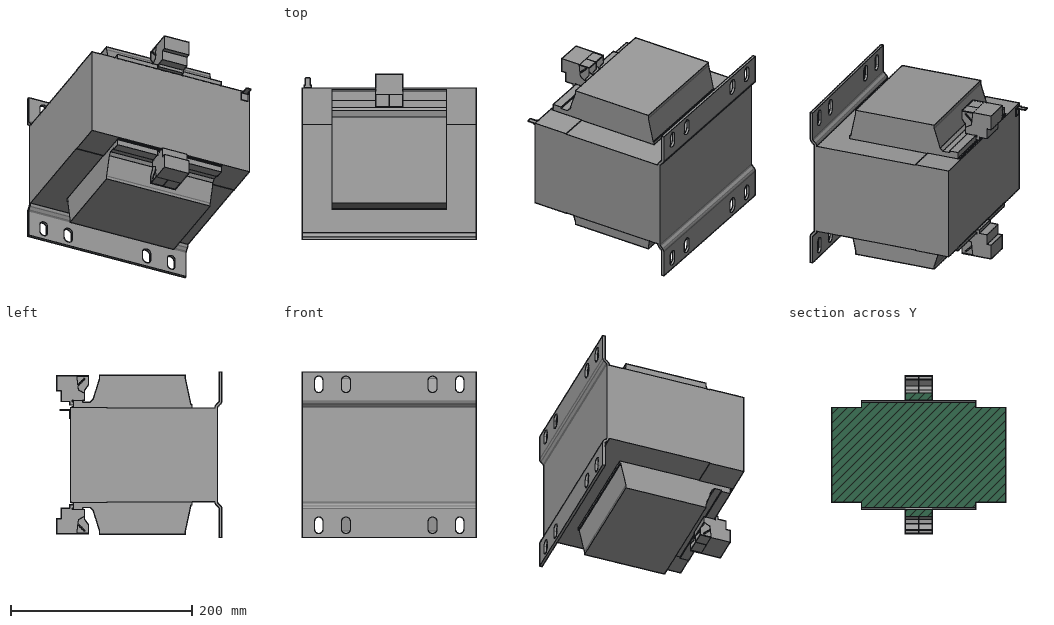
import cadquery as cq
import math


width = 192.0
height = 183.0

sheet = 3.0
web_front = 4.8
flange_bend_z = 57.6
inner_bend = 1.5
outer_bend = inner_bend + sheet
bend_angle = 45.0
position_tolerance = 0.02
slot_length = 18.0
slot_z = 77.8
slots = ((77.8, 9.0), (47.8, 10.0))

core_front = web_front + sheet
core_back = 167.2
core_half_height = 51.8
band_thickness = 0.5
band_depth = 40.3
band_top = core_half_height + band_thickness

bobbin_width = 126.3
winding_front = 40.3
winding_back = 135.2
winding_shoulder = 84.0
winding_top = 88.0
lip_front = 33.0
lip_step = 1.2
lip_top = 55.5
groove_floor = 58.2
groove_front = 145.5
groove_chamfer = 3.3
rail_front = 153.6
rail_back = 164.0
rail_top = 60.0
foot_back = 165.7
foot_top = 53.4

terminal_count = 2
terminal_width = 15.0
terminal_back = 182.5
terminal_front = 147.0
terminal_top = 87.4
terminal_bottom = 58.8
head_bottom = 70.5
stem_back = 177.6
rail_seat_back = 165.1
stem_front = 151.5
brow_bottom = 71.2
brow_top = 77.4
clip_front = 164.0
clip_back = 168.2
clip_bottom = 55.0

wall = 0.2
roof = 1.0
entry_back = 160.1
entry_knee = (159.2, 76.8)
entry_floor_back = (158.4, 71.6)
entry_floor_front = 67.8
entry_overcut = 2.0
leaf_root = (159.7, 76.8)
leaf_run = 7.7
leaf_drop = 1.0

tab_x = -89.9
tab_sheet = 0.8
tab_top = 50.0
tab_plate_width = 8.0
tab_plate_height = 9.6
tab_plate_reach = 3.3
tab_blade_width = 5.8
tab_end = 178.5
tab_tip_chamfer = 0.8


def extrude_along_x(points, x_start, x_end):
    """Extrude a closed (Y, Z) outline between two X positions."""
    return cq.Workplane("YZ", origin=(x_start, 0, 0)).polyline(points).close().extrude(x_end - x_start)


def box_between(x_range, y_range, z_range):
    """Box given by its limits along each axis."""
    corner = (x_range[0], y_range[0], z_range[0])
    sizes = [high - low for low, high in (x_range, y_range, z_range)]
    return cq.Workplane("XY").box(*sizes, centered=False).translate(corner)


def make_bracket():
    """Sheet with a middle web and two flanges set forward by paired bends."""
    web_back = web_front + sheet
    web_bend_z = flange_bend_z - web_front / math.tan(math.radians(bend_angle))
    bend_shift = sheet * math.tan(math.radians(bend_angle / 2))
    top = height / 2
    upper_front = [(web_front, web_bend_z), (0, flange_bend_z), (0, top)]
    upper_back = [
        (sheet, top),
        (sheet, flange_bend_z + bend_shift),
        (web_back, web_bend_z + bend_shift),
    ]
    upper = upper_front + upper_back
    lower = [(y, -z) for y, z in reversed(upper)]
    bracket = extrude_along_x(upper + lower, -width / 2, width / 2)

    def bend_edges(surfaces):
        """Select the bend edges lying on the sheet surfaces at the given Y positions."""
        def on_bend(edge):
            center = edge.Center()
            on_surface = any(abs(center.y - y) < position_tolerance for y in surfaces)
            return on_surface and abs(center.z) < top - sheet
        return on_bend

    for surfaces, radius in (((0, web_back), outer_bend), ((sheet, web_front), inner_bend)):
        bracket = bracket.edges("|X").filter(bend_edges(surfaces)).fillet(radius)

    for distance, slot_width in slots:
        slot_centers = [(x, z) for x in (-distance, distance) for z in (-slot_z, slot_z)]
        cutter = (
            cq.Workplane("XZ")
            .pushPoints(slot_centers)
            .slot2D(slot_length, slot_width, 90)
            .extrude(-sheet)
        )
        bracket = bracket.cut(cutter)
    return bracket


def make_core():
    """Laminated block with a slightly raised band along its back."""
    half_width = width / 2
    x_range = (-half_width, half_width)
    core = box_between(x_range, (core_front, core_back), (-core_half_height, core_half_height))
    band = box_between(x_range, (core_back - band_depth, core_back), (-band_top, band_top))
    return core.union(band)


def make_bobbin():
    """Upper bobbin: tapered winding with a square-edged top, a groove and a terminal rail."""
    profile = [
        (lip_front, 0),
        (lip_front, lip_top),
        (lip_front + lip_step, lip_top),
        (winding_front, winding_shoulder),
        (winding_front, winding_top),
        (winding_back, winding_top),
        (winding_back, winding_shoulder),
        (groove_front - groove_chamfer, groove_floor + groove_chamfer),
        (groove_front, groove_floor),
        (rail_front, groove_floor),
        (rail_front, rail_top),
        (rail_back, rail_top),
        (rail_back, foot_top),
        (foot_back, foot_top),
        (foot_back, 0),
    ]
    return extrude_along_x(profile, -bobbin_width / 2, bobbin_width / 2)


def make_terminal(x_start):
    """One terminal: stepped housing, open-fronted wire entry and a slanted leaf in it."""
    x_end = x_start + terminal_width
    housing_profile = [
        (terminal_front, terminal_top),
        (terminal_back, terminal_top),
        (terminal_back, head_bottom),
        (stem_back, head_bottom),
        (stem_back, terminal_bottom),
        (rail_seat_back, terminal_bottom),
        (rail_seat_back, rail_top),
        (stem_front, rail_top),
        (stem_front, brow_bottom),
        (terminal_front, brow_top),
    ]
    entry_top = terminal_top - roof
    entry_mouth = terminal_front - entry_overcut
    entry_profile = [
        (entry_back, entry_top),
        entry_knee,
        entry_floor_back,
        (stem_front, entry_floor_front),
        (entry_mouth, entry_floor_front),
        (entry_mouth, entry_top),
    ]
    root_y, root_z = leaf_root
    tip_y = root_y - leaf_run
    tip_z = root_z + leaf_run
    leaf_profile = [
        leaf_root,
        (tip_y, tip_z),
        (tip_y - leaf_drop, tip_z - leaf_drop),
        (root_y - leaf_drop, root_z - leaf_drop),
    ]
    housing = extrude_along_x(housing_profile, x_start, x_end)
    entry = extrude_along_x(entry_profile, x_start + wall, x_end - wall)
    leaf = extrude_along_x(leaf_profile, x_start, x_end)
    clip = box_between((x_start, x_end), (clip_front, clip_back), (clip_bottom, terminal_bottom))
    return housing.cut(entry).union(leaf).union(clip)


def make_earth_tab():
    """Angled sheet tab: a plate on the core back and a blade pointing backwards."""
    plate_x = (tab_x - tab_plate_width / 2, tab_x + tab_plate_width / 2)
    blade_x = (tab_x - tab_blade_width / 2, tab_x + tab_blade_width / 2)
    sheet_z = (tab_top - tab_sheet, tab_top)
    plate = box_between(plate_x, (core_back, core_back + tab_sheet), (tab_top - tab_plate_height, tab_top))
    root = box_between(plate_x, (core_back, core_back + tab_plate_reach), sheet_z)
    blade = box_between(blade_x, (core_back, tab_end), sheet_z)
    blade = blade.edges("|Z and >Y").chamfer(tab_tip_chamfer)
    return plate.union(root).union(blade)


upper_parts = make_bobbin()
for index in range(terminal_count):
    upper_parts = upper_parts.union(make_terminal((index - terminal_count / 2) * terminal_width))

result = (
    make_core()
    .union(make_bracket())
    .union(upper_parts)
    .union(upper_parts.mirror("XY"))
    .union(make_earth_tab())
)